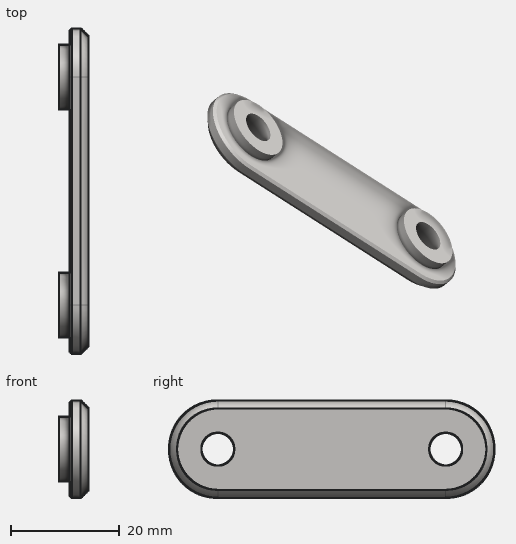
import cadquery as cq

length = 60.0
width = 18.0
total_depth = 5.5

boss_height = 2.0
boss_diameter = 12.0
hole_diameter = 6.0
boss_spacing = 42.0

boss_side_chamfer = 0.5
outer_side_chamfer = 1.5

plate_thickness = total_depth - boss_height
boss_centers = [(-boss_spacing / 2, 0), (boss_spacing / 2, 0)]

plate = cq.Workplane("YZ").slot2D(length, width).extrude(plate_thickness)
plate = plate.faces("<X").chamfer(boss_side_chamfer)
plate = plate.faces(">X").chamfer(outer_side_chamfer)

bosses = cq.Workplane("YZ").pushPoints(boss_centers).circle(boss_diameter / 2).extrude(-boss_height)

holes = (
    cq.Workplane("YZ", origin=(-boss_height, 0, 0))
    .pushPoints(boss_centers)
    .circle(hole_diameter / 2)
    .extrude(total_depth)
)

result = plate.union(bosses).cut(holes)